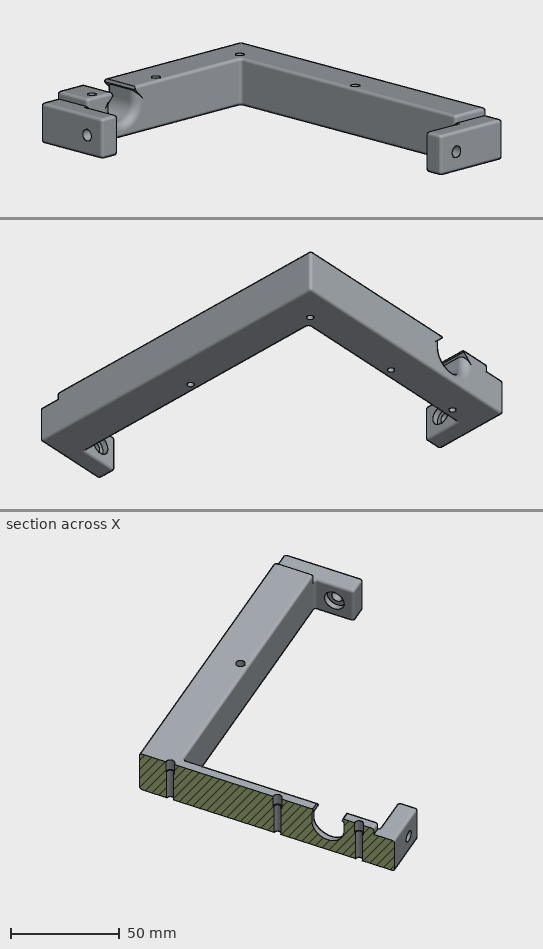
import cadquery as cq
length_x = 170.0
length_y = 130.0
height = 22.5

leg_width = 20.0
lug_thickness = 10.0
lug_length = 40.0
lug_height = 19.0
lug_face_x = length_x - lug_thickness
lug_face_y = lug_thickness - length_y
leg_step_gap = 0.5
edge_radius = 1.5

rod_radius = 8.0
rod_y = -96.0
rod_z = 14.5
flare_radius = 4.0
lip_half_gap = 7.25
mouth_half_gap = 7.7
roof_z = 21.0
flare_half_width = rod_radius + flare_radius

frame_hole_diameter = 3.3
frame_bore_diameter = 4.2
frame_bore_depth = 6.0
hole_line_x = 15.0
hole_line_y = -15.7
frame_hole_points = [
    (hole_line_x, hole_line_y),
    (90.0, hole_line_y),
    (hole_line_x, -70.3),
    (hole_line_x, -111.8),
]

lug_hole_diameter = 5.5
lug_counterbore_diameter = 10.0
lug_counterbore_depth = 3.0
lug_hole_offset = 30.0
lug_hole_z = lug_height / 2


def box(x_range, y_range, z_range):
    """Axis-aligned box between the given limits."""
    size = [limits[1] - limits[0] for limits in (x_range, y_range, z_range)]
    corner = (x_range[0], y_range[0], z_range[0])
    return cq.Workplane("XY").box(*size, centered=False).translate(corner)


def near(x, y):
    """Selector for edges centred close to the vertical line through (x, y)."""
    reach = edge_radius / 4
    return cq.selectors.BoxSelector((x - reach, y - reach, 0), (x + reach, y + reach, height))


def make_legs():
    """Tall L of the two legs, rounded on every edge."""
    legs = box((0, lug_face_x - leg_step_gap), (-leg_width, 0), (0, height))
    legs = legs.union(box((0, leg_width), (lug_face_y + leg_step_gap, 0), (0, height)))
    return legs.edges().fillet(edge_radius)


def make_lug_frame():
    """Lower C of the same legs with a lug on each end, rounded on every edge."""
    frame = box((0, length_x), (-leg_width, 0), (0, lug_height))
    frame = frame.union(box((0, leg_width), (-length_y, 0), (0, lug_height)))
    frame = frame.union(box((lug_face_x, length_x), (-lug_length, 0), (0, lug_height)))
    frame = frame.union(box((0, lug_length), (-length_y, lug_face_y), (0, lug_height)))
    seams = near(lug_face_x, -leg_width) + near(leg_width, lug_face_y)
    outer_edges = cq.selectors.InverseSelector(seams)
    return frame.edges(outer_edges).fillet(edge_radius).edges(seams).fillet(edge_radius)


def make_rod_notch():
    """Round-bottomed notch with flared ends under 45 degree roofs and a narrower opening lip."""
    channel = (
        cq.Workplane("YZ")
        .moveTo(rod_y - rod_radius, height)
        .lineTo(rod_y - rod_radius, rod_z)
        .threePointArc((rod_y, rod_z - rod_radius), (rod_y + rod_radius, rod_z))
        .lineTo(rod_y + rod_radius, height)
        .close()
        .extrude(leg_width)
    )
    block_half_width = 2 * rod_radius
    block = box((0, leg_width), (rod_y - block_half_width, rod_y + block_half_width), (0, height))
    walls = block.cut(channel)
    margin = 1.0
    rims = cq.selectors.BoxSelector(
        (-margin, rod_y - rod_radius - margin, rod_z - rod_radius - margin),
        (leg_width + margin, rod_y + rod_radius + margin, height + margin),
    )
    walls = walls.edges(rims).edges("<X or >X").fillet(flare_radius)
    flared_channel = block.cut(walls)

    roof_end_z = roof_z - (flare_half_width - lip_half_gap)
    right_outline = [
        (flare_half_width, 0),
        (flare_half_width, roof_end_z),
        (lip_half_gap, roof_z),
        (mouth_half_gap, height),
    ]
    left_outline = [(-y, z) for y, z in reversed(right_outline)]
    envelope = cq.Workplane("YZ", origin=(0, rod_y, 0)).polyline(right_outline + left_outline).close()
    envelope = envelope.extrude(leg_width)
    return flared_channel.intersect(envelope)


def make_frame_holes():
    """Vertical through holes in the legs, each with a wider bore at the top."""
    points = cq.Workplane("XY").pushPoints(frame_hole_points)
    holes = points.circle(frame_hole_diameter / 2).extrude(height)
    bores = points.circle(frame_bore_diameter / 2).extrude(frame_bore_depth)
    return holes.union(bores.translate((0, 0, height - frame_bore_depth)))


def make_lug_hole(inner_face_point, outward):
    """Screw hole through a lug, counterbored from its inner face."""
    start = cq.Vector(*inner_face_point)
    direction = cq.Vector(*outward)
    hole = cq.Solid.makeCylinder(lug_hole_diameter / 2, lug_thickness, start, direction)
    counterbore = cq.Solid.makeCylinder(lug_counterbore_diameter / 2, lug_counterbore_depth, start, direction)
    return cq.Workplane(hole).union(cq.Workplane(counterbore))


result = (
    make_legs()
    .union(make_lug_frame())
    .cut(make_rod_notch())
    .cut(make_frame_holes())
    .cut(make_lug_hole((lug_face_x, -lug_hole_offset, lug_hole_z), (1, 0, 0)))
    .cut(make_lug_hole((lug_hole_offset, lug_face_y, lug_hole_z), (0, -1, 0)))
)